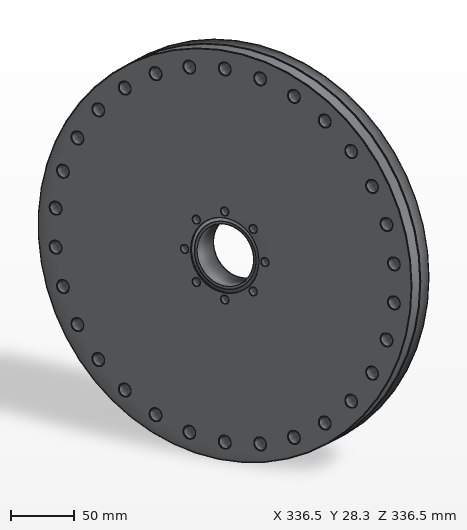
import cadquery as cq
import math

disc_diameter = 336.5
thickness = 28.3
rim_chamfer = 0.5
front_y = -thickness / 2
back_y = thickness / 2

groove_width = 1.0
groove_depth = 0.5

rim_hole_count = 30
rim_hole_diameter = 10.5
rim_hole_circle = 306.3
rim_hole_chamfer = 0.5

bore_diameter = 50.8
recess_diameter = 61.5
recess_depth = 1.7
knife_tip_diameter = 55.5
knife_tip_depth = 0.7
knife_foot_diameter = 55.2
bore_face_depth = 1.0

small_hole_count = 8
small_hole_diameter = 6.7
small_hole_circle = 72.5
small_hole_depth = 14.0
small_hole_chamfer = 0.5
drill_point_angle = 118.0

back_recess_diameter = 294.2
back_recess_depth = 1.0


def revolve_about_y(profile):
    """Turn a closed list of (radius, y) points into a solid of revolution about Y."""
    return cq.Workplane("XY").polyline(profile).close().revolve(360, (0, 0, 0), (0, 1, 0))


def around_y(solid, circle_diameter, count):
    """Copies of a solid on the Y axis, spaced evenly on a circle, the first at +Z."""
    first = solid.translate((0, 0, circle_diameter / 2))
    copies = cq.Workplane("XY")
    for i in range(count):
        copies = copies.add(first.rotate((0, 0, 0), (0, 1, 0), i * 360 / count))
    return copies.combine()


def make_disc():
    rim = disc_diameter / 2
    groove_bottom = rim - groove_depth
    bore = bore_diameter / 2
    recess = recess_diameter / 2
    back_recess = back_recess_diameter / 2
    bore_face_y = front_y + bore_face_depth
    back_recess_y = back_y - back_recess_depth
    return revolve_about_y([
        (bore, bore_face_y),
        (knife_foot_diameter / 2, bore_face_y),
        (knife_tip_diameter / 2, front_y + knife_tip_depth),
        (recess, front_y + recess_depth),
        (recess, front_y),
        (rim - rim_chamfer, front_y),
        (rim, front_y + rim_chamfer),
        (rim, -groove_width / 2),
        (groove_bottom, -groove_width / 2),
        (groove_bottom, groove_width / 2),
        (rim, groove_width / 2),
        (rim, back_y - rim_chamfer),
        (rim - rim_chamfer, back_y),
        (back_recess, back_y),
        (back_recess, back_recess_y),
        (bore, back_recess_y),
    ])


def make_rim_holes():
    radius = rim_hole_diameter / 2
    hole = revolve_about_y([
        (0, front_y),
        (radius + rim_hole_chamfer, front_y),
        (radius, front_y + rim_hole_chamfer),
        (radius, back_y),
        (0, back_y),
    ])
    return around_y(hole, rim_hole_circle, rim_hole_count)


def make_small_holes():
    radius = small_hole_diameter / 2
    shoulder_y = front_y + small_hole_depth
    point_y = shoulder_y + radius / math.tan(math.radians(drill_point_angle / 2))
    hole = revolve_about_y([
        (0, front_y),
        (radius + small_hole_chamfer, front_y),
        (radius, front_y + small_hole_chamfer),
        (radius, shoulder_y),
        (0, point_y),
    ])
    return around_y(hole, small_hole_circle, small_hole_count)


result = make_disc().cut(make_rim_holes()).cut(make_small_holes())